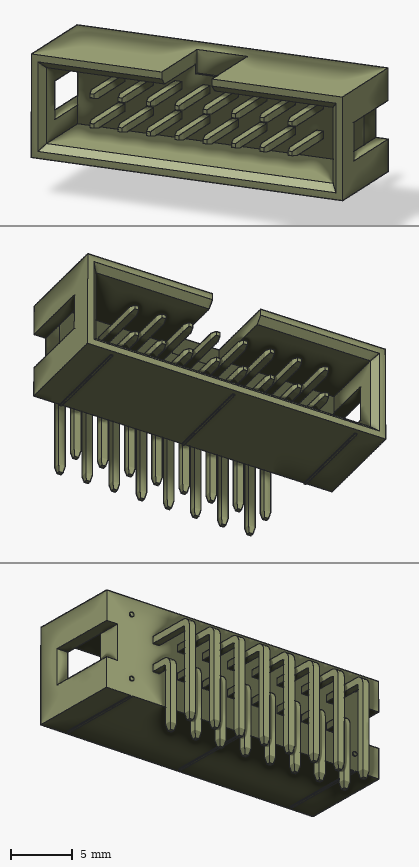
import cadquery as cq

BASE_LENGTH = 27.92
SIDE_DRAFT = 0.03
HOUSING_DEPTH = 8.8
HOUSING_HEIGHT = 8.82
TOTAL_HEIGHT = 12.01

CAVITY_DEPTH = 6.53
END_WALL = 1.12
LONG_WALL = 1.18
MOUTH_RIM = 0.6
MOUTH_BEVEL_DEPTH = 0.57

NOTCH_WIDTH = 4.5
NOTCH_DROP = 2.0
NOTCH_LENGTH = CAVITY_DEPTH + 0.27

WINDOW_HEIGHT = 3.28
WINDOW_FRONT_WALL = 2.19

STANDOFF_SPACING = 11.43
STANDOFF_HEIGHT = 0.1
PAD_DIAMETER = 0.4
PAD_ROW_OFFSET = 2.9
RIB_WIDTH = 0.2
RIB_LENGTH = 8.35
RIB_ROOT = 0.5

PIN_COLUMNS = 8
PIN_PITCH = 2.54
PIN_SIZE = 0.64
PIN_TIP_SIZE = 0.36
PIN_TIP_LENGTH = 0.6
PIN_FRONT_SETBACK = 0.8
PIN_DROP = TOTAL_HEIGHT - HOUSING_HEIGHT
PIN_REACH = 13.66
BEND_INNER_RADIUS = 0.2

MID_HEIGHT = HOUSING_HEIGHT / 2


def box(x_range, y_range, z_range):
    """Axis-aligned block given by its limits along each axis."""
    corner = (x_range[0], y_range[0], z_range[0])
    size = [high - low for low, high in (x_range, y_range, z_range)]
    return cq.Workplane("XY").box(*size, centered=False).translate(corner)


def make_shell():
    half_base = BASE_LENGTH / 2
    half_top = half_base - SIDE_DRAFT
    outline = [
        (-half_base, 0),
        (half_base, 0),
        (half_top, HOUSING_HEIGHT),
        (-half_top, HOUSING_HEIGHT),
    ]
    return cq.Workplane("XZ").polyline(outline).close().extrude(-HOUSING_DEPTH)


def make_cavity():
    inner_length = BASE_LENGTH - 2 * END_WALL
    inner_height = HOUSING_HEIGHT - 2 * LONG_WALL
    half_length = inner_length / 2
    recess = box(
        (-half_length, half_length),
        (0, CAVITY_DEPTH),
        (LONG_WALL, HOUSING_HEIGHT - LONG_WALL),
    )
    bevel = (
        cq.Workplane("XZ", origin=(0, 0, MID_HEIGHT))
        .rect(BASE_LENGTH - 2 * MOUTH_RIM, HOUSING_HEIGHT - 2 * MOUTH_RIM)
        .workplane(offset=-MOUTH_BEVEL_DEPTH)
        .rect(inner_length, inner_height)
        .loft(combine=True)
    )
    return recess.union(bevel)


def make_notch():
    return box(
        (-NOTCH_WIDTH / 2, NOTCH_WIDTH / 2),
        (0, NOTCH_LENGTH),
        (HOUSING_HEIGHT - NOTCH_DROP, HOUSING_HEIGHT),
    )


def make_window(side):
    outer = side * BASE_LENGTH / 2
    inner = outer - side * END_WALL
    return box(
        sorted((inner, outer)),
        (WINDOW_FRONT_WALL, HOUSING_DEPTH),
        (MID_HEIGHT - WINDOW_HEIGHT / 2, MID_HEIGHT + WINDOW_HEIGHT / 2),
    )


def make_rib(x):
    return box(
        (x - RIB_WIDTH / 2, x + RIB_WIDTH / 2),
        (HOUSING_DEPTH - RIB_LENGTH, HOUSING_DEPTH),
        (-STANDOFF_HEIGHT, RIB_ROOT),
    )


def make_back_pad(x, z):
    return (
        cq.Workplane("XZ", origin=(x, HOUSING_DEPTH, z))
        .circle(PAD_DIAMETER / 2)
        .extrude(-STANDOFF_HEIGHT)
    )


def make_housing():
    housing = make_shell().cut(make_cavity()).cut(make_notch())
    for side in (-1, 1):
        housing = housing.cut(make_window(side))
    for x in (-STANDOFF_SPACING, 0, STANDOFF_SPACING):
        housing = housing.union(make_rib(x))
        for row in (-1, 1):
            housing = housing.union(make_back_pad(x, MID_HEIGHT + row * PAD_ROW_OFFSET))
    return housing


def make_tip(base_plane):
    """Square taper growing along the plane's normal."""
    return (
        base_plane.rect(PIN_SIZE, PIN_SIZE)
        .workplane(offset=PIN_TIP_LENGTH)
        .rect(PIN_TIP_SIZE, PIN_TIP_SIZE)
        .loft(combine=True)
    )


def make_pin(axis_height, rear_face):
    """Right-angle pin on X = 0 with its straight part at axis_height."""
    half = PIN_SIZE / 2
    top = axis_height + half
    bottom = axis_height - half
    front_shoulder = PIN_FRONT_SETBACK + PIN_TIP_LENGTH
    lower_shoulder = PIN_TIP_LENGTH - PIN_DROP
    straight = box((-half, half), (front_shoulder, rear_face), (bottom, top))
    leg = box((-half, half), (rear_face - PIN_SIZE, rear_face), (lower_shoulder, top))
    bent = straight.union(leg)
    outer_corner = cq.selectors.NearestToPointSelector((0, rear_face, top))
    inner_corner = cq.selectors.NearestToPointSelector((0, rear_face - PIN_SIZE, bottom))
    bent = bent.edges("|X").edges(outer_corner).fillet(BEND_INNER_RADIUS + PIN_SIZE)
    bent = bent.edges("|X").edges(inner_corner).fillet(BEND_INNER_RADIUS)
    front_tip = make_tip(cq.Workplane("XZ", origin=(0, front_shoulder, axis_height)))
    leg_base = (0, rear_face - half, lower_shoulder)
    lower_tip = make_tip(cq.Workplane(cq.Plane(leg_base, xDir=(1, 0, 0), normal=(0, 0, -1))))
    return bent.union(front_tip).union(lower_tip)


lower_pin = make_pin(MID_HEIGHT - PIN_PITCH / 2, PIN_REACH - PIN_PITCH)
upper_pin = make_pin(MID_HEIGHT + PIN_PITCH / 2, PIN_REACH)

result = make_housing()
for column in range(PIN_COLUMNS):
    x = (column - (PIN_COLUMNS - 1) / 2) * PIN_PITCH
    for pin in (lower_pin, upper_pin):
        result = result.union(pin.translate((x, 0, 0)))